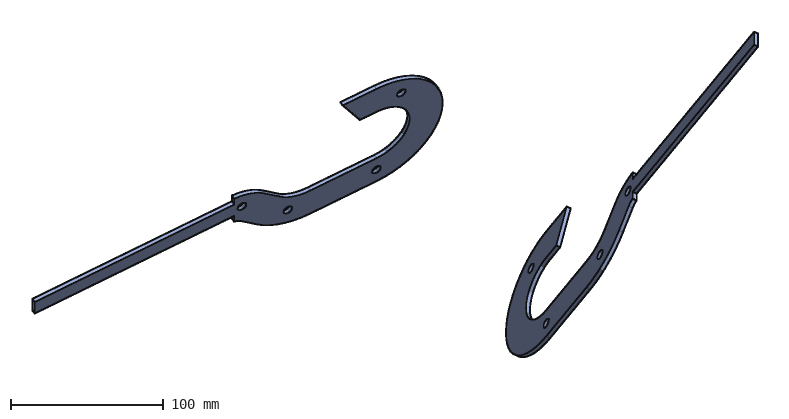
import cadquery as cq
import math

thickness = 3.0
total_length = 312.3
hook_height = 101.5
hook_outer_radius = hook_height / 2
band_width = hook_outer_radius / 2
half_band = band_width / 2
hook_inner_radius = hook_outer_radius - band_width
hook_mid_radius = hook_outer_radius - half_band

tip_outer_reach = 26.0
tip_inner_reach = half_band

straight_length = hook_outer_radius
bend_angle = 45.0
lower_bend_radius = 45.3
upper_bend_radius = 22.0

bar_width = half_band
bar_length = 152.7
bar_end_y = hook_outer_radius - total_length
shoulder_y = bar_end_y + bar_length

upper_bend_overrun = 1.5

hole_diameter = 6.5
tip_hole_angle = 60.0
bend_hole_angle = 22.0
shoulder_hole_inset = 6.0


def polar(center, radius, angle):
    """Point at an angle in degrees, counted from +Y toward +Z."""
    turn = math.radians(angle)
    return (center[0] + radius * math.cos(turn), center[1] + radius * math.sin(turn))


lower_center = (-straight_length, lower_bend_radius - hook_mid_radius)
upper_center_y = shoulder_y - upper_bend_overrun
across = polar(lower_center, lower_bend_radius + upper_bend_radius, -90 - bend_angle)
slant_rise = (across[0] - upper_center_y) * math.tan(math.radians(bend_angle))
upper_center = (upper_center_y, across[1] + slant_rise)
bar_center_z = upper_center[1] + upper_bend_radius


def lower_bend(offset, fraction):
    """Point on the lower bend, offset outward from the band's middle line."""
    return polar(lower_center, lower_bend_radius + offset, -90 - fraction * bend_angle)


def upper_bend(offset, fraction):
    """Point on the upper bend, from the slanted run (0) to the shoulder (1)."""
    radius = upper_bend_radius + offset
    start = 90 - bend_angle
    end = math.degrees(math.acos(upper_bend_overrun / radius))
    return polar(upper_center, radius, start + fraction * (end - start))


def make_band():
    return (
        cq.Workplane("YZ")
        .moveTo(-tip_outer_reach, hook_outer_radius)
        .lineTo(0, hook_outer_radius)
        .threePointArc((hook_outer_radius, 0), (0, -hook_outer_radius))
        .lineTo(*lower_bend(half_band, 0))
        .threePointArc(lower_bend(half_band, 0.5), lower_bend(half_band, 1))
        .lineTo(*upper_bend(-half_band, 0))
        .threePointArc(upper_bend(-half_band, 0.5), upper_bend(-half_band, 1))
        .lineTo(*upper_bend(half_band, 1))
        .threePointArc(upper_bend(half_band, 0.5), upper_bend(half_band, 0))
        .lineTo(*lower_bend(-half_band, 1))
        .threePointArc(lower_bend(-half_band, 0.5), lower_bend(-half_band, 0))
        .lineTo(0, -hook_inner_radius)
        .threePointArc((hook_inner_radius, 0), (0, hook_inner_radius))
        .lineTo(-tip_inner_reach, hook_inner_radius)
        .close()
        .extrude(thickness / 2, both=True)
    )


def make_bar():
    length = bar_length + bar_width
    return (
        cq.Workplane("YZ")
        .center(bar_end_y + length / 2, bar_center_z)
        .rect(length, bar_width)
        .extrude(thickness / 2, both=True)
    )


def make_holes():
    centers = [
        polar((0, 0), hook_mid_radius, tip_hole_angle),
        (0, -hook_mid_radius),
        lower_bend(0, bend_hole_angle / bend_angle),
        (shoulder_y + shoulder_hole_inset, bar_center_z),
    ]
    return (
        cq.Workplane("YZ")
        .pushPoints(centers)
        .circle(hole_diameter / 2)
        .extrude(thickness, both=True)
    )


result = make_band().union(make_bar()).cut(make_holes())